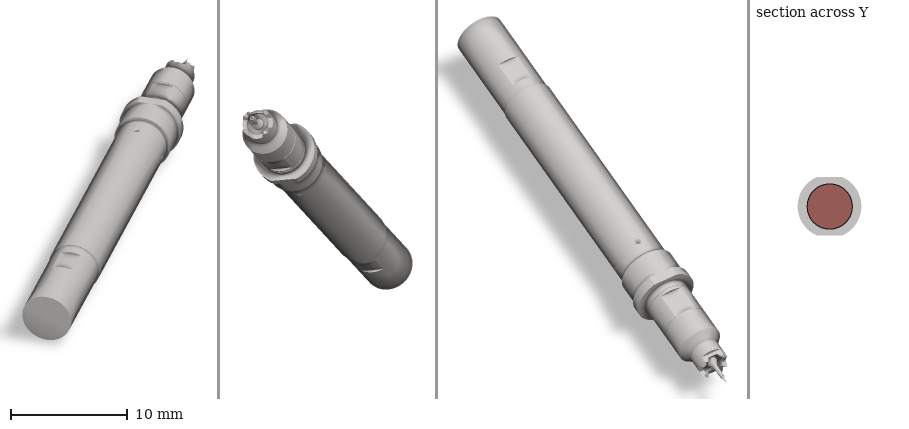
import cadquery as cq
import math

LENGTH = 43.0

REAR_DIAMETER = 4.35
BARREL_DIAMETER = 4.5
RELIEF_DIAMETER = 4.45
COLLAR_DIAMETER = 5.0
FLANGE_DIAMETER = 5.45
HEAD_DIAMETER = 4.0
GROOVE_DIAMETER = 3.9
NOSE_DIAMETER = 2.7
BORE_DIAMETER = 1.98
PIN_DIAMETER = 0.395
PIN_TOP_DIAMETER = 0.37
SPIKE_DIAMETER = 0.25

REAR_END = 8.43
BARREL_END = 28.9
RELIEF_END = 29.15
COLLAR_END = 31.5
FLANGE_END = 32.42
HEAD_END = 38.3
CONE_END = 39.05
TOOTH_TIP = 41.05
PIN_STEP = 41.9
PIN_END = 42.25

GROOVE_STARTS = (33.0, 35.8)
GROOVE_WIDTH = 0.15

FLANGE_ACROSS_FLATS = COLLAR_DIAMETER
REAR_ACROSS_FLATS = 3.9
REAR_FLAT_START = 4.95
REAR_FLAT_END = 7.45
HEAD_ACROSS_FLATS = 3.5
HEAD_FLAT_START = 33.32
HEAD_FLAT_END = GROOVE_STARTS[1]

DIMPLE_COUNT = 4
DIMPLE_Y = 27.5
DIMPLE_DIAMETER = 0.6
DIMPLE_DEPTH = 0.25

TOOTH_PITCH = 30
GAP_COUNT = 4
WIDE_GAP_FLOOR = 40.55
WIDE_GAP_FLOOR_WIDTH = 0.85
NARROW_GAP_FLOOR = 40.7
BORE_FLOOR = 40.25
CROWN_CUT_HEIGHT = 1.05

FOOT_DIAMETER = 0.95
FOOT_CONE_START = 40.5
FOOT_CONE_END = 41.0


def revolve_outline(points):
    """Solid of revolution about Y from (radius, Y) points, closed along the axis."""
    start = points[0][1]
    outline = [(0, start)] + points
    if points[-1][0] > 0:
        outline.append((0, points[-1][1]))
    return cq.Workplane("XY").polyline(outline).close().revolve(360, (0, 0, 0), (0, 1, 0))


def stepped_outline(sections, start):
    """Outline points of stacked cylinders given as (diameter, end) pairs."""
    points = []
    for diameter, end in sections:
        points += [(diameter / 2, start), (diameter / 2, end)]
        start = end
    return points


def repeat_around(shape, count, first_angle=0):
    """Copies of a shape spaced evenly around the Y axis."""
    copies = cq.Workplane("XY")
    for i in range(count):
        copies = copies.add(shape.rotate((0, 0, 0), (0, 1, 0), first_angle + i * 360 / count))
    return copies.combine()


def turned_body():
    """Stepped body from the rear face to the tooth tips, with a conical shoulder before the nose."""
    outline = stepped_outline(
        [
            (REAR_DIAMETER, REAR_END),
            (BARREL_DIAMETER, BARREL_END),
            (RELIEF_DIAMETER, RELIEF_END),
            (COLLAR_DIAMETER, COLLAR_END),
            (FLANGE_DIAMETER, FLANGE_END),
            (HEAD_DIAMETER, HEAD_END),
        ],
        0,
    )
    outline += stepped_outline([(NOSE_DIAMETER, TOOTH_TIP)], CONE_END)
    return revolve_outline(outline)


def ring_groove(start):
    """Ring that cuts a shallow groove into the head."""
    ring = cq.Workplane("XZ", origin=(0, start, 0)).circle(FLANGE_DIAMETER / 2).circle(GROOVE_DIAMETER / 2)
    return ring.extrude(-GROOVE_WIDTH)


def flat_pair(across_flats, start, end):
    """Blocks that cut two opposite flats facing +Z and -Z."""
    size = FLANGE_DIAMETER
    middle = (start + end) / 2
    block = cq.Workplane("XY", origin=(0, middle, (across_flats + size) / 2)).box(size, end - start, size)
    return repeat_around(block, 2)


def dimples():
    """Small conical dimples spaced around the barrel."""
    surface = BARREL_DIAMETER / 2
    tip = cq.Vector(0, DIMPLE_Y, surface - DIMPLE_DEPTH)
    cone = cq.Solid.makeCone(0, DIMPLE_DIAMETER, 2 * DIMPLE_DEPTH, tip, cq.Vector(0, 0, 1))
    return repeat_around(cq.Workplane("XY").add(cone), DIMPLE_COUNT)


def crown_gap(half_floor, floor, half_top):
    """Tapered radial slot through the crown wall, open at the tooth tips."""
    outline = [(half_top, TOOTH_TIP), (-half_top, TOOTH_TIP), (-half_floor, floor)]
    if half_floor > 0:
        outline.append((half_floor, floor))
    return cq.Workplane("XY").polyline(outline).close().extrude(NOSE_DIAMETER)


def shape_crown(body):
    """Bore the nose, cut its rim into pointed teeth and shorten the +Z side."""
    radius = NOSE_DIAMETER / 2
    pitch = math.radians(TOOTH_PITCH)
    bore = cq.Workplane("XZ", origin=(0, BORE_FLOOR, 0)).circle(BORE_DIAMETER / 2)
    bore = bore.extrude(BORE_FLOOR - TOOTH_TIP)
    wide_gap = crown_gap(WIDE_GAP_FLOOR_WIDTH / 2, WIDE_GAP_FLOOR, radius * math.sin(pitch))
    narrow_gap = crown_gap(0, NARROW_GAP_FLOOR, radius * math.tan(pitch / 2))
    top_cut = cq.Workplane("XY", origin=(-radius, BORE_FLOOR, CROWN_CUT_HEIGHT)).box(
        NOSE_DIAMETER, TOOTH_TIP - BORE_FLOOR, radius, centered=False
    )
    body = body.cut(bore)
    body = body.cut(repeat_around(wide_gap, GAP_COUNT))
    body = body.cut(repeat_around(narrow_gap, GAP_COUNT, 180 / GAP_COUNT))
    return body.cut(top_cut)


def needle():
    """Contact pin on a conical foot, ending in a thin conical spike."""
    outline = stepped_outline([(FOOT_DIAMETER, FOOT_CONE_START)], CONE_END)
    pin_sections = [(PIN_DIAMETER, PIN_STEP), (PIN_TOP_DIAMETER, PIN_END)]
    outline += stepped_outline(pin_sections, FOOT_CONE_END)
    outline += [(SPIKE_DIAMETER / 2, PIN_END), (0, LENGTH)]
    return revolve_outline(outline)


result = turned_body()
result = result.cut(flat_pair(FLANGE_ACROSS_FLATS, COLLAR_END, FLANGE_END))
result = result.cut(flat_pair(REAR_ACROSS_FLATS, REAR_FLAT_START, REAR_FLAT_END))
for groove_start in GROOVE_STARTS:
    result = result.cut(ring_groove(groove_start))
result = result.cut(flat_pair(HEAD_ACROSS_FLATS, HEAD_FLAT_START, HEAD_FLAT_END))
result = result.cut(dimples())
result = shape_crown(result)
result = result.union(needle())